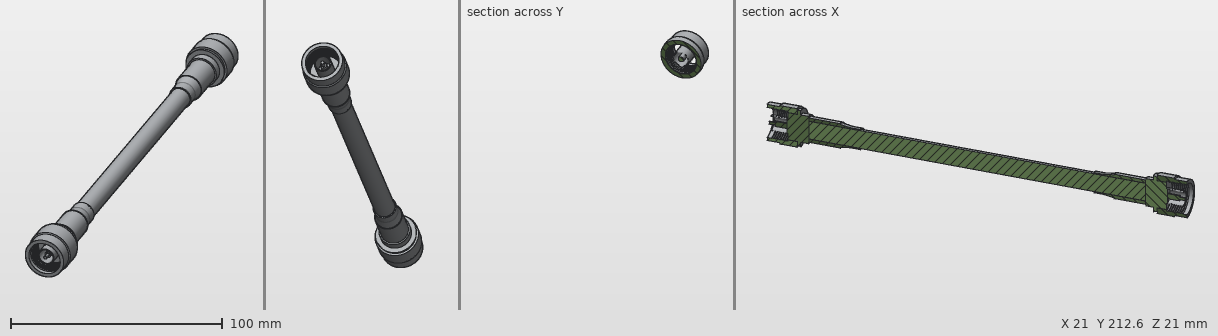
import cadquery as cq


overall_length = 212.6
end_y = overall_length / 2

cable_radius = 4.95

boot_neck_radius = 5.55
boot_cone_radius = 6.35
boot_barrel_radius = 6.7
boot_neck_length = 5.1
boot_cone_length = 5.1
boot_barrel_length = 16.0
boot_rear_y = end_y - 47.2
boot_cone_y = boot_rear_y + boot_neck_length
boot_barrel_y = boot_cone_y + boot_cone_length
boot_front_y = boot_barrel_y + boot_barrel_length

collar_radius = 7.5
collar_length = 3.9
flange_rear_radius = 9.85
flange_front_radius = 9.4
flange_length = 1.9
hub_radius = 7.5
contact_radius = 4.1
contact_bore_radius = 3.55
contact_bore_depth = 8.0
flange_rear_y = boot_front_y + collar_length
flange_front_y = flange_rear_y + flange_length
contact_front_y = end_y - 2.0
contact_floor_y = contact_front_y - contact_bore_depth

nut_radius = 20.98 / 2
nut_front_radius = 9.85
nut_front_length = 6.2
nut_chamfer_length = 0.4
nut_bore_radius = 8.0
nut_bore_depth = 10.5
thread_crest_radius = 7.5
thread_pitch = 1.06
thread_teeth = 7
nut_step_y = end_y - nut_front_length
nut_floor_y = end_y - nut_bore_depth
thread_front_y = end_y - 2.2

pin_radius = 1.5
pin_tip_radius = 0.8
pin_tip_length = 3.0
pin_tip_y = end_y - 1.0
pin_shoulder_y = pin_tip_y - pin_tip_length


def turned(points):
    """Solid of revolution about the Y axis from (radius, y) points."""
    profile = [(y, radius) for radius, y in points]
    return cq.Workplane("YZ").polyline(profile).close().revolve(360, (0, 0, 0), (1, 0, 0))


def make_cable():
    """Plain round cable that reaches the rear face of both plug bodies."""
    return turned([
        (0, -boot_front_y),
        (cable_radius, -boot_front_y),
        (cable_radius, boot_front_y),
        (0, boot_front_y),
    ])


def make_boot():
    """Sleeve around the cable: a neck, a cone and a wider barrel."""
    return turned([
        (cable_radius, boot_rear_y),
        (boot_neck_radius, boot_rear_y),
        (boot_neck_radius, boot_cone_y),
        (boot_cone_radius, boot_barrel_y),
        (boot_barrel_radius, boot_barrel_y),
        (boot_barrel_radius, boot_front_y),
        (cable_radius, boot_front_y),
    ])


def make_plug_body():
    """Collar, flange and hub, with the bored contact tube at the front."""
    return turned([
        (0, boot_front_y),
        (collar_radius, boot_front_y),
        (collar_radius, flange_rear_y),
        (flange_rear_radius, flange_rear_y),
        (flange_front_radius, flange_front_y),
        (hub_radius, flange_front_y),
        (hub_radius, nut_floor_y),
        (contact_radius, nut_floor_y),
        (contact_radius, contact_front_y),
        (contact_bore_radius, contact_front_y),
        (contact_bore_radius, contact_floor_y),
        (0, contact_floor_y),
    ])


def thread_points():
    """Bore profile of the thread, from its front root to its rear root."""
    points = [(nut_bore_radius, thread_front_y)]
    for tooth in range(thread_teeth):
        tooth_front_y = thread_front_y - tooth * thread_pitch
        points.append((thread_crest_radius, tooth_front_y - thread_pitch / 2))
        points.append((nut_bore_radius, tooth_front_y - thread_pitch))
    return points


def make_nut():
    """Stepped ring that sits on the hub, against the flange."""
    return turned([
        (hub_radius, flange_front_y),
        (nut_radius, flange_front_y),
        (nut_radius, nut_step_y - nut_chamfer_length),
        (nut_front_radius, nut_step_y),
        (nut_front_radius, end_y),
        (nut_bore_radius, end_y),
        *thread_points(),
        (nut_bore_radius, nut_floor_y),
        (hub_radius, nut_floor_y),
    ])


def make_pin():
    """Pin with a thinner tip, standing on the floor of the contact bore."""
    return turned([
        (0, contact_floor_y),
        (pin_radius, contact_floor_y),
        (pin_radius, pin_shoulder_y),
        (pin_tip_radius, pin_shoulder_y),
        (pin_tip_radius, pin_tip_y),
        (0, pin_tip_y),
    ])


bodies = [make_cable().val()]
for make_part in (make_boot, make_plug_body, make_nut, make_pin):
    part = make_part()
    bodies.append(part.val())
    bodies.append(part.mirror("XZ").val())

result = cq.Compound.makeCompound(bodies)